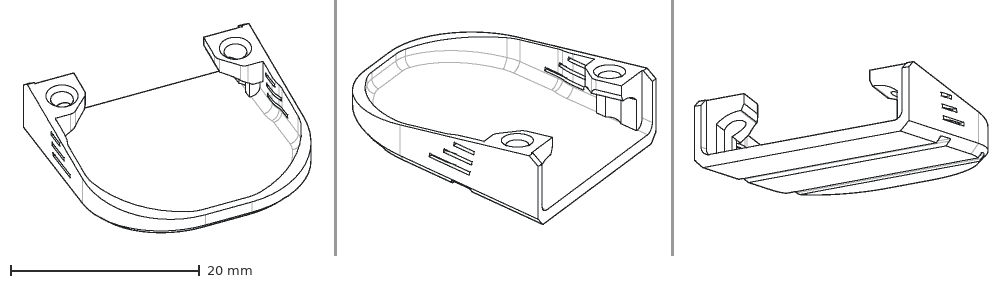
import cadquery as cq
import math

LENGTH = 26.8
WIDTH = 25.3
HEIGHT = 8.19
HALF_WIDTH = WIDTH / 2
MARGIN = 1.0

CORNER_RADIUS = 10.0
BASE_ANGLE = 12.0
BASE_CHAMFER = 1.0
RIM_CHAMFER_X = 1.1
RIM_CHAMFER_Z = 1.0

FLOOR_ANGLE = 11.3
FLOOR_THICKNESS = 1.38
FLOOR_FILLET = 1.0
THICK_WALL = 0.8
THIN_WALL = 0.5
END_WALL = 0.85
STEP_START_X = 9.65
STEP_END_X = 11.65
STEP_ARC_SHARE = 0.7
CORNER_ARC_RADIUS = 12.6
CORNER_ARC_X = 13.8
CORNER_ARC_Y = -0.05
CORNER_BLEND = 4.6

BOSS_START_X = 1.25
BOSS_END_X = 7.05
BOSS_INNER_Y = 7.4
BOSS_CUT_X = 4.75
BOSS_CUT_Y = 9.7
BOSS_CUT_ROUNDING = 1.0
BOSS_TIP_DEPTH = 1.15
BOSS_SLAB_DEPTH = 1.88
BOSS_TIP_RUN = 0.33
BOSS_FOOT_DEPTH = 2.95
BOSS_UNDERSIDE_RADIUS = 4.15
SUPPORT_INNER_Y = 10.66
SUPPORT_END_X = 6.15
SCREW_X = 4.1
SCREW_Y = 9.9
SCREW_DIAMETER = 2.4
SINK_DIAMETER = 3.4
SINK_DEPTH = (SINK_DIAMETER - SCREW_DIAMETER) / 2

VENT_LENGTHS = (5.0, 3.5, 2.5)
VENT_HEIGHT = 0.4
VENT_START = 9.1
VENT_FIRST_RISE = 2.6
VENT_PITCH = 1.28

GROOVES = (
    (8.84, 2.38, 0.65, 0.2),
    (19.83, 1.76, 0.55, 0.3),
)


def wedge_below(angle, start_height):
    """Solid filling everything below a plane that rises toward +X."""
    rise = math.tan(math.radians(angle))
    start_x = -2 * MARGIN
    end_x = LENGTH + MARGIN
    return (
        cq.Workplane("XZ")
        .moveTo(start_x, start_height + rise * start_x)
        .lineTo(end_x, start_height + rise * end_x)
        .lineTo(end_x, -HEIGHT)
        .lineTo(start_x, -HEIGHT)
        .close()
        .extrude(HALF_WIDTH + MARGIN, both=True)
    )


def round_upright_edge(block, x, y, radius):
    """Fillet the vertical edge of a full-height block that stands at (x, y)."""
    edge_point = cq.selectors.NearestToPointSelector((x, y, HEIGHT / 2))
    return block.edges(edge_point).fillet(radius)


def make_shell():
    """Solid outer body with a sloped, chamfered underside."""
    body = (
        cq.Workplane("XY")
        .rect(LENGTH, WIDTH)
        .extrude(HEIGHT)
        .translate((LENGTH / 2, 0, 0))
        .edges("|Z and >X")
        .fillet(CORNER_RADIUS)
        .cut(wedge_below(BASE_ANGLE, 0))
    )
    underside = body.faces("<Z")
    body = body.newObject(underside.edges("not(<X)").vals()).chamfer(BASE_CHAMFER)
    rim_cut = (
        cq.Workplane("XZ")
        .moveTo(0, HEIGHT)
        .lineTo(RIM_CHAMFER_X, HEIGHT)
        .lineTo(0, HEIGHT - RIM_CHAMFER_Z)
        .close()
        .extrude(HALF_WIDTH, both=True)
    )
    return body.cut(rim_cut)


def corner_arc_point(angle):
    """Point on the cavity's large corner arc, at an angle from +X."""
    x = CORNER_ARC_X + CORNER_ARC_RADIUS * math.cos(angle)
    y = CORNER_ARC_Y + CORNER_ARC_RADIUS * math.sin(angle)
    return (x, y)


def make_cavity():
    """Inside space: stepped side walls, rounded far end, filleted sloped floor."""
    thick_y = HALF_WIDTH - THICK_WALL
    thin_y = HALF_WIDTH - THIN_WALL
    end_x = LENGTH - END_WALL
    step_x = STEP_START_X + STEP_ARC_SHARE * (STEP_END_X - STEP_START_X)
    step_y = thick_y + STEP_ARC_SHARE * (thin_y - thick_y)
    arc_start_angle = math.asin((thin_y - CORNER_ARC_Y) / CORNER_ARC_RADIUS)
    arc_end_angle = math.acos((end_x - CORNER_ARC_X) / CORNER_ARC_RADIUS)
    arc_mid_angle = (arc_start_angle + arc_end_angle) / 2
    arc_start = corner_arc_point(arc_start_angle)
    arc_end = corner_arc_point(arc_end_angle)
    half = (
        cq.Workplane("XY")
        .moveTo(-MARGIN, 0)
        .lineTo(-MARGIN, thick_y)
        .lineTo(STEP_START_X, thick_y)
        .tangentArcPoint((step_x, step_y), relative=False)
        .tangentArcPoint((STEP_END_X, thin_y), relative=False)
        .lineTo(*arc_start)
        .threePointArc(corner_arc_point(arc_mid_angle), arc_end)
        .lineTo(end_x, 0)
        .close()
        .extrude(HEIGHT + MARGIN)
    )
    for x, y in (arc_start, arc_end):
        half = round_upright_edge(half, x, y, CORNER_BLEND)
    cavity = half.union(half.mirror("XZ"))
    cavity = cavity.cut(wedge_below(FLOOR_ANGLE, FLOOR_THICKNESS))
    floor = cavity.faces("<Z")
    return cavity.newObject(floor.edges("not(<X)").vals()).fillet(FLOOR_FILLET)


def make_boss():
    """Screw boss on the +Y wall: overhanging slab with a curved underside on a support."""
    wall_y = HALF_WIDTH - THICK_WALL / 2
    slab_y = BOSS_INNER_Y + BOSS_TIP_RUN
    curve_drop = BOSS_FOOT_DEPTH - BOSS_SLAB_DEPTH
    curve_run = math.sqrt(BOSS_UNDERSIDE_RADIUS**2 - (BOSS_UNDERSIDE_RADIUS - curve_drop) ** 2)
    slab = (
        cq.Workplane("YZ", origin=(BOSS_START_X, 0, HEIGHT))
        .moveTo(wall_y, 0)
        .lineTo(BOSS_INNER_Y, 0)
        .lineTo(BOSS_INNER_Y, -BOSS_TIP_DEPTH)
        .lineTo(slab_y, -BOSS_SLAB_DEPTH)
        .lineTo(SUPPORT_INNER_Y - curve_run, -BOSS_SLAB_DEPTH)
        .radiusArc((SUPPORT_INNER_Y, -BOSS_FOOT_DEPTH), BOSS_UNDERSIDE_RADIUS)
        .lineTo(wall_y, -BOSS_FOOT_DEPTH)
        .close()
        .extrude(BOSS_END_X - BOSS_START_X)
    )
    outline = (
        cq.Workplane("XY")
        .moveTo(BOSS_START_X, wall_y)
        .lineTo(BOSS_START_X, BOSS_INNER_Y)
        .lineTo(BOSS_CUT_X, BOSS_INNER_Y)
        .lineTo(BOSS_END_X, BOSS_CUT_Y)
        .lineTo(BOSS_END_X, wall_y)
        .close()
        .extrude(HEIGHT)
    )
    for x, y in ((BOSS_CUT_X, BOSS_INNER_Y), (BOSS_END_X, BOSS_CUT_Y)):
        outline = round_upright_edge(outline, x, y, BOSS_CUT_ROUNDING)
    support = cq.Workplane("XY").box(
        SUPPORT_END_X - BOSS_START_X,
        wall_y - SUPPORT_INNER_Y,
        HEIGHT - BOSS_FOOT_DEPTH,
        centered=False,
    )
    support = support.translate((BOSS_START_X, SUPPORT_INNER_Y, 0))
    return slab.intersect(outline).union(support)


def make_screw_hole():
    """Cutter for the countersunk hole through the +Y boss, full height."""
    hole = cq.Workplane("XY").circle(SCREW_DIAMETER / 2).extrude(HEIGHT)
    sink = cq.Workplane("XY", origin=(0, 0, HEIGHT)).circle(SINK_DIAMETER / 2)
    sink = sink.workplane(offset=-SINK_DEPTH).circle(SCREW_DIAMETER / 2).loft()
    return hole.union(sink).translate((SCREW_X, SCREW_Y, 0))


def slope_bar(start, rise, length, height):
    """Bar across the full width, at right angles to the slope before it is tilted."""
    bar = cq.Workplane("XY").box(length, WIDTH + 2 * MARGIN, height, centered=(False, True, False))
    return bar.translate((start, 0, rise))


def onto_slope(shape):
    """Tilt a shape so that it lies along the sloped underside."""
    return shape.rotate((0, 0, 0), (0, 1, 0), -BASE_ANGLE)


def make_vents():
    """Slots through both side walls, parallel to the underside."""
    vents = cq.Workplane("XY")
    for row, length in enumerate(VENT_LENGTHS):
        rise = VENT_FIRST_RISE + row * VENT_PITCH - VENT_HEIGHT / 2
        vents = vents.union(onto_slope(slope_bar(VENT_START, rise, length, VENT_HEIGHT)))
    return vents


def make_groove(start, width, depth, rounding):
    """Straight groove across the underside with a rounded roof."""
    bar = slope_bar(start, -MARGIN, width, MARGIN + depth)
    return onto_slope(bar.faces(">Z").edges("|Y").fillet(rounding))


shell = make_shell()
cavity = make_cavity()
boss = make_boss()
bosses = boss.union(boss.mirror("XZ")).intersect(shell)
screw_hole = make_screw_hole().intersect(cavity)

result = shell.cut(cavity).cut(make_vents()).union(bosses)
result = result.cut(screw_hole).cut(screw_hole.mirror("XZ"))
for start, width, depth, rounding in GROOVES:
    result = result.cut(make_groove(start, width, depth, rounding))